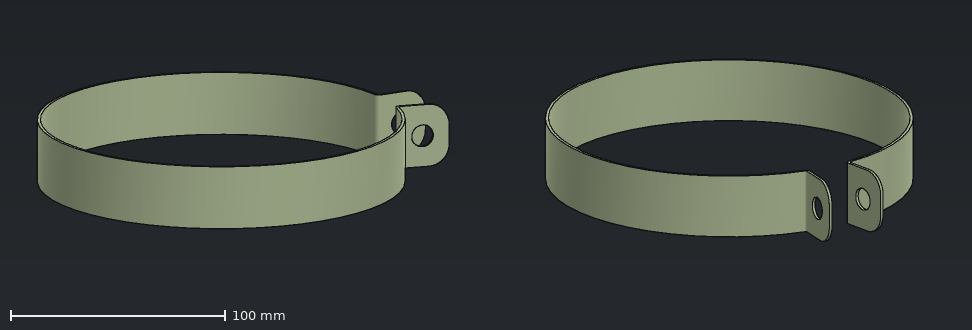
import cadquery as cq
import math

outer_diameter = 172.0
thickness = 1.5
band_width = 30.0
gap_half_angle = 7.0
ear_tip_radius = 110.6
bend_inner_radius = 1.0
ear_corner_radius = 10.0
hole_diameter = 10.5
hole_to_tip = 13.0

outer_radius = outer_diameter / 2
inner_radius = outer_radius - thickness
bend_outer_radius = bend_inner_radius + thickness
ear_length = ear_tip_radius - inner_radius
hole_distance = ear_tip_radius - hole_to_tip


def place_at_gap(ear, side):
    """Turn an ear built along +Y to the gap edge: side -1 is -X, side +1 is +X."""
    return ear.rotate((0, 0, 0), (0, 0, 1), -side * gap_half_angle)


def make_ring():
    """Full ring with the gap wedge between the two ears removed."""
    ring = cq.Workplane("XY").circle(outer_radius).circle(inner_radius).extrude(band_width)
    wedge_height = outer_diameter
    wedge_half_width = wedge_height * math.tan(math.radians(gap_half_angle))
    wedge = (
        cq.Workplane("XY")
        .moveTo(0, 0)
        .lineTo(wedge_half_width, wedge_height)
        .lineTo(-wedge_half_width, wedge_height)
        .close()
        .extrude(band_width)
    )
    return ring.cut(wedge)


def make_ear(side):
    """Radial ear whose gap-side face lies in a plane through the ring axis."""
    ear = (
        cq.Workplane("XY")
        .center(side * thickness / 2, inner_radius + ear_length / 2)
        .rect(thickness, ear_length)
        .extrude(band_width)
        .edges("|X and >Y")
        .fillet(ear_corner_radius)
    )
    hole = (
        cq.Workplane("YZ")
        .center(hole_distance, band_width / 2)
        .circle(hole_diameter / 2)
        .extrude(2 * thickness, both=True)
    )
    return place_at_gap(ear.cut(hole), side)


def bend_edge_selector(side, across, radius):
    """Box around the vertical bend edge at a given offset from the gap-side face and ring radius."""
    angle = math.radians(gap_half_angle)
    along = math.sqrt(radius**2 - across**2)
    x = side * (along * math.sin(angle) + across * math.cos(angle))
    y = along * math.cos(angle) - across * math.sin(angle)
    margin = thickness / 4
    return cq.selectors.BoxSelector(
        (x - margin, y - margin, -margin),
        (x + margin, y + margin, band_width + margin),
    )


def round_bend(body, side):
    """Round both sides of the sheet bend between ring and ear."""
    convex_edge = bend_edge_selector(side, 0, inner_radius)
    body = body.edges("|Z").edges(convex_edge).fillet(bend_outer_radius)
    concave_edge = bend_edge_selector(side, thickness, outer_radius)
    return body.edges("|Z").edges(concave_edge).fillet(bend_inner_radius)


gap_sides = (-1, 1)
clamp = make_ring()
for gap_side in gap_sides:
    clamp = clamp.union(make_ear(gap_side))
for gap_side in gap_sides:
    clamp = round_bend(clamp, gap_side)

result = clamp